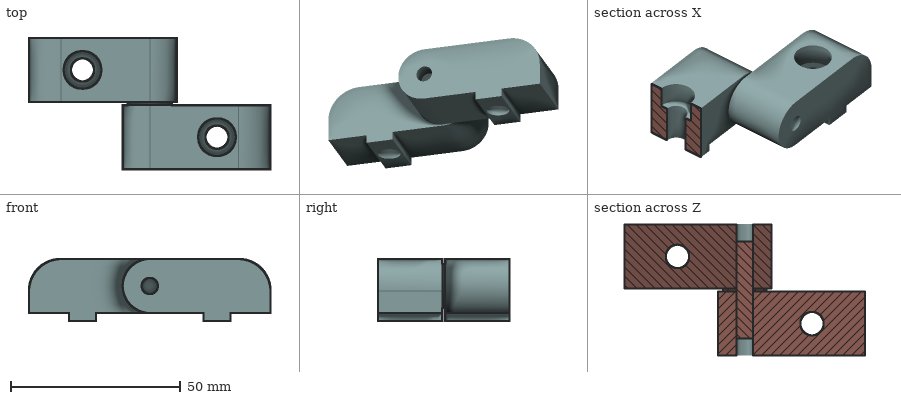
import cadquery as cq

overall_length = 71.4
overall_width = 38.8
overall_height = 18.4

leaf_height = 16.0
leaf_width = 19.0
outer_radius = 9.5
knuckle_radius = leaf_height / 2
leaf_reach = overall_length / 2
leaf_gap = overall_width - 2 * leaf_width
leaf_offset = (leaf_gap + leaf_width) / 2

tab_length = 8.0
tab_height = overall_height - leaf_height
tab_inset = 11.85
tab_center = leaf_reach - tab_inset - tab_length / 2

screw_diameter = 6.8
counterbore_diameter = 11.1
counterbore_depth = 6.5

pin_diameter = 4.8
pin_recess = 5.0
pin_length = overall_width - 2 * pin_recess
washer_diameter = 13.05


def cylinder_on_pivot(diameter, length):
    """Cylinder along Y, centred on the origin."""
    return cq.Workplane("XZ").circle(diameter / 2).extrude(length / 2, both=True)


def leaf_profile():
    """Side outline with a round knuckle at the pivot and a rounded outer shoulder."""
    return (
        cq.Workplane("XZ")
        .moveTo(0, -knuckle_radius)
        .lineTo(leaf_reach, -knuckle_radius)
        .lineTo(leaf_reach, knuckle_radius - outer_radius)
        .radiusArc((leaf_reach - outer_radius, knuckle_radius), -outer_radius)
        .lineTo(0, knuckle_radius)
        .threePointArc((-knuckle_radius, 0), (0, -knuckle_radius))
        .close()
    )


def make_leaf():
    """Leaf on the -Y side of the hinge, reaching toward +X."""
    body = leaf_profile().extrude(leaf_width / 2, both=True)
    tab = (
        cq.Workplane("XY", origin=(tab_center, 0, -knuckle_radius))
        .rect(tab_length, leaf_width)
        .extrude(-tab_height)
    )
    body = body.union(tab)
    mounting_hole = (
        cq.Workplane("XY", origin=(tab_center, 0, knuckle_radius))
        .circle(screw_diameter / 2)
        .extrude(-overall_height)
    )
    counterbore = (
        cq.Workplane("XY", origin=(tab_center, 0, knuckle_radius))
        .circle(counterbore_diameter / 2)
        .extrude(-counterbore_depth)
    )
    pin_hole = cylinder_on_pivot(pin_diameter, leaf_width)
    body = body.cut(mounting_hole).cut(counterbore).cut(pin_hole)
    return body.translate((0, -leaf_offset, 0))


def make_washer():
    """Spacer filling the gap between the leaves, around the pin."""
    return cylinder_on_pivot(washer_diameter, leaf_gap).cut(cylinder_on_pivot(pin_diameter, leaf_gap))


def make_pin():
    """Pivot pin through both knuckles, with its ends below the outer faces."""
    return cylinder_on_pivot(pin_diameter, pin_length)


leaves = [make_leaf().rotate((0, 0, 0), (0, 0, 1), angle).val() for angle in (0, 180)]
washer = make_washer()
pin = make_pin()

result = cq.Compound.makeCompound([*leaves, washer.val(), pin.val()])